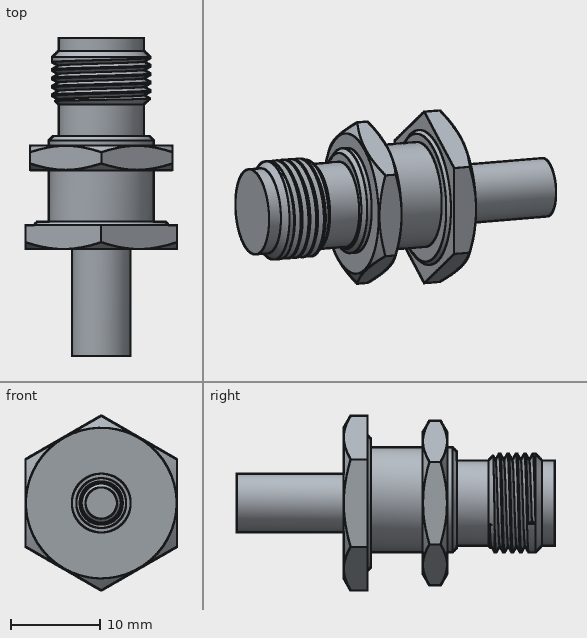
import cadquery as cq
import math


NOSE_END = 1.45
THREAD_FULL_START = 2.17
THREAD_FULL_END = 6.75
THREAD_END = 7.45
BARREL_START = 11.0
NUT_START = 12.05
SEAT_START = 20.6
FLANGE_START = 21.0
FLANGE_END = 23.7
OVERALL_LENGTH = 35.7

NECK_RADIUS = 4.8
THREAD_RADIUS = 5.55
BARREL_RADIUS = 5.91
BARREL_OFFSET = 0.37
BARREL_CHAMFER = 0.5
SEAT_SMALL_RADIUS = 7.2
SEAT_LARGE_RADIUS = SEAT_SMALL_RADIUS + (FLANGE_START - SEAT_START)

HEX_SIDES = 6
HEX_TURN = 90
HEX_CHAMFER_ANGLE = 30
NUT_ACROSS_FLATS = 16.0
NUT_THICKNESS = 2.8
NUT_FACE_RADIUS = 7.9
FLANGE_ACROSS_FLATS = 17.0
FLANGE_FACE_RADIUS = 8.45

THREAD_PITCH = 0.945
GROOVE_START = 2.585
GROOVE_START_ANGLE = -25
GROOVE_END = 7.3
GROOVE_DEPTH = 0.7
GROOVE_HALF_ANGLE = 30
GROOVE_OVERSHOOT = 0.1

TUBE_RADIUS = 3.3
TUBE_BORE_RADIUS = 2.8
POST_RADIUS = 2.42
POST_TIP_BASE_RADIUS = 2.2
POST_TIP_RADIUS = 1.76
POST_TIP_LENGTH = POST_TIP_BASE_RADIUS - POST_TIP_RADIUS
POST_LENGTH = 6.0


def revolve_outline(points):
    """Revolve (radius, station) points about the connector axis."""
    outline = cq.Workplane("XZ").polyline(points).close()
    return outline.revolve(360, (0, 0, 0), (0, 1, 0))


def make_body():
    """Nose, thread blank, neck and flange seat."""
    return revolve_outline([
        (0, 0),
        (NECK_RADIUS, 0),
        (NECK_RADIUS, NOSE_END),
        (THREAD_RADIUS, THREAD_FULL_START),
        (THREAD_RADIUS, THREAD_FULL_END),
        (NECK_RADIUS, THREAD_END),
        (NECK_RADIUS, SEAT_START),
        (SEAT_SMALL_RADIUS, SEAT_START),
        (SEAT_LARGE_RADIUS, FLANGE_START),
        (0, FLANGE_START),
    ])


def make_barrel():
    """Barrel with a chamfered front edge, set slightly off the connector axis."""
    return (
        cq.Workplane("XY", origin=(0, BARREL_OFFSET, BARREL_START))
        .circle(BARREL_RADIUS)
        .extrude(SEAT_START - BARREL_START)
        .faces("<Z")
        .chamfer(BARREL_CHAMFER)
    )


def make_thread_groove():
    """Right-handed V groove swept along a helix."""
    root_radius = THREAD_RADIUS - GROOVE_DEPTH
    outer_radius = THREAD_RADIUS + GROOVE_OVERSHOOT
    half_width = (outer_radius - root_radius) * math.tan(math.radians(GROOVE_HALF_ANGLE))
    helix = cq.Wire.makeHelix(
        THREAD_PITCH, GROOVE_END - GROOVE_START, THREAD_RADIUS, cq.Vector(0, 0, GROOVE_START)
    )
    section = cq.Workplane("XZ").polyline([
        (root_radius, GROOVE_START),
        (outer_radius, GROOVE_START - half_width),
        (outer_radius, GROOVE_START + half_width),
    ]).close()
    groove = section.sweep(cq.Workplane(obj=helix), isFrenet=True)
    return groove.rotate((0, 0, 0), (0, 0, 1), GROOVE_START_ANGLE)


def make_hexagon(across_flats, start, thickness, face_radius, chamfer_start):
    """Hexagon with flats on +/-X; its end corners are turned down to cones.

    The +Z end is always chamfered, the other one only if chamfer_start is true.
    """
    corner_radius = across_flats / 2 / math.cos(math.pi / HEX_SIDES)
    chamfer_length = (corner_radius - face_radius) * math.tan(math.radians(HEX_CHAMFER_ANGLE))
    end = start + thickness
    hexagon = (
        cq.Workplane("XY", origin=(0, 0, start))
        .transformed(rotate=(0, 0, HEX_TURN))
        .polygon(HEX_SIDES, 2 * corner_radius)
        .extrude(thickness)
    )
    if chamfer_start:
        start_points = [(face_radius, start), (corner_radius, start + chamfer_length)]
    else:
        start_points = [(corner_radius, start)]
    end_points = [(corner_radius, end - chamfer_length), (face_radius, end)]
    envelope = revolve_outline([(0, start)] + start_points + end_points + [(0, end)])
    return hexagon.intersect(envelope)


def make_tube():
    """Open crimp tube behind the flange."""
    return (
        cq.Workplane("XY", origin=(0, 0, FLANGE_END))
        .circle(TUBE_RADIUS)
        .circle(TUBE_BORE_RADIUS)
        .extrude(OVERALL_LENGTH - FLANGE_END)
    )


def make_post():
    """Post inside the tube, with a small shoulder and a conical tip."""
    post_end = FLANGE_END + POST_LENGTH
    return revolve_outline([
        (0, FLANGE_END),
        (POST_RADIUS, FLANGE_END),
        (POST_RADIUS, post_end - POST_TIP_LENGTH),
        (POST_TIP_BASE_RADIUS, post_end - POST_TIP_LENGTH),
        (POST_TIP_RADIUS, post_end),
        (0, post_end),
    ])


nut = make_hexagon(NUT_ACROSS_FLATS, NUT_START, NUT_THICKNESS, NUT_FACE_RADIUS, True)
flange = make_hexagon(
    FLANGE_ACROSS_FLATS, FLANGE_START, FLANGE_END - FLANGE_START, FLANGE_FACE_RADIUS, False
)

connector = make_body().cut(make_thread_groove())
for piece in (make_barrel(), nut, flange, make_tube(), make_post()):
    connector = connector.union(piece)

result = connector.rotate((0, 0, 0), (1, 0, 0), 90)